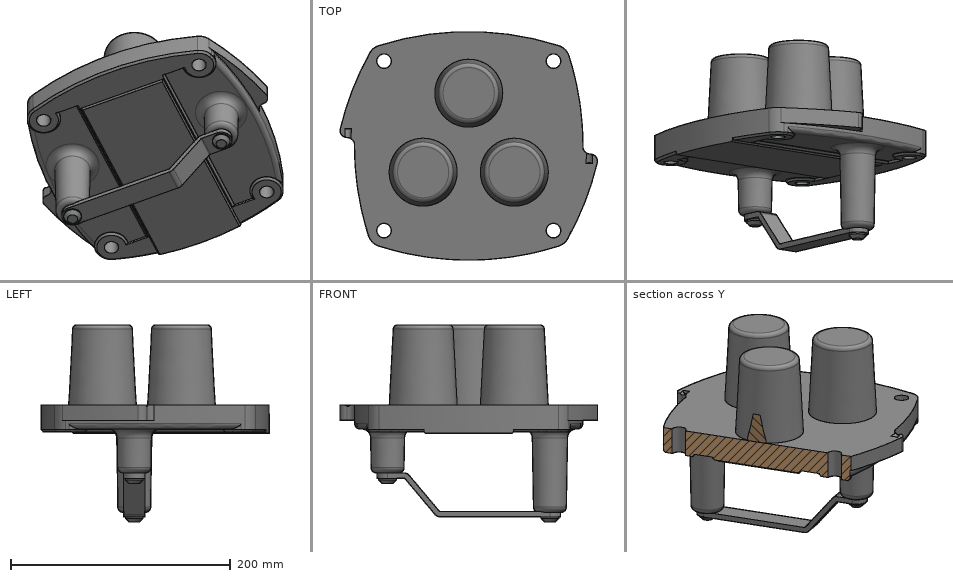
import cadquery as cq
import math

half_width = 208.5 / 2
hole_offset = 77.25
hole_diameter = 13.0
corner_radius = 15.0
floor_depth = 22.0
floor_edge_radius = 5.0
rim_depth = 24.5
rim_chamfer = 2.0

inset = half_width - hole_offset
bow_radius = (hole_offset**2 + inset**2 - corner_radius**2) / (2 * (inset - corner_radius))
bow_center_offset = half_width - bow_radius
bow_half_span = hole_offset * bow_radius / (bow_radius - corner_radius)

ear_reach = 234.81 / 2
ear_depth = 14.0
ear_radius = (ear_reach - half_width) / 2
ear_center = (-ear_reach + ear_radius, 14.0)
groove_x = -110.0
groove_width = 6.0
groove_tilt = 12.0
groove_end_y = 16.0

pad_half_width = 41.0
pad_depth = 26.0
pad_end_y = 76.0
pad_rise = pad_depth - rim_depth
recess_inner_x = 44.0
recess_end_y = 80.0
boss_radius = 15.4

cup_count = 3
cup_circle_radius = 48.0
cup_base_radius = 31.0
cup_height = 73.0
cup_draft = 3.0
cup_edge_radius = 4.0

post_x = 74.0
post_y = 19.0
short_post_depth = 62.0
strap_drop = 35.0
post_seat = 1.0
long_post_depth = short_post_depth + strap_drop + post_seat
post_tip_radius = 15.0
post_draft = 1.0
post_edge_radius = 5.0
post_flare_radius = 8.0
strap_thickness = 5.0
strap_width = 19.5
strap_bend_x = -26.7
strap_slope = 50.0
strap_outer_bend = 6.0
strap_inner_bend = 1.0
screw_head_diameter = 16.3
screw_tip_diameter = 9.45
screw_head_height = 4.85
shank_diameter = 11.0


def point_on(center, radius, direction):
    """Point at the given radius from a center, along a direction vector."""
    length = math.hypot(*direction)
    return (center[0] + radius * direction[0] / length, center[1] + radius * direction[1] / length)


def outline_solid(depth):
    """Bowed square with rounded corners, from Z = 0 down to the given depth."""
    along = bow_half_span
    out = bow_center_offset + math.sqrt(bow_radius**2 - along**2)
    corner_middle = hole_offset + corner_radius * math.sqrt(0.5)
    outline = cq.Workplane("XY").moveTo(-along, out)
    for turn in range(4):
        angle = -math.pi / 2 * turn

        def turned(x, y):
            return (x * math.cos(angle) - y * math.sin(angle), x * math.sin(angle) + y * math.cos(angle))

        outline = outline.threePointArc(turned(0, half_width), turned(along, out))
        outline = outline.threePointArc(turned(corner_middle, corner_middle), turned(out, along))
    return outline.close().extrude(-depth)


def make_ear():
    """Ear on the -X side: a bowed edge from the corner to a rounded tip, then a concave root."""
    corner = (-hole_offset, hole_offset)
    corner_gap = bow_radius - corner_radius
    tip_gap = bow_radius - ear_radius
    dx = ear_center[0] - corner[0]
    dy = ear_center[1] - corner[1]
    span = math.hypot(dx, dy)
    along = (corner_gap**2 - tip_gap**2 + span**2) / (2 * span)
    across = math.sqrt(corner_gap**2 - along**2)
    arc_center = (
        corner[0] + (along * dx - across * dy) / span,
        corner[1] + (along * dy + across * dx) / span,
    )

    def outward(point):
        return (point[0] - arc_center[0], point[1] - arc_center[1])

    start = point_on(corner, corner_radius, outward(corner))
    end = point_on(ear_center, ear_radius, outward(ear_center))
    middle = point_on(arc_center, bow_radius, outward(((start[0] + end[0]) / 2, (start[1] + end[1]) / 2)))
    tip_middle = point_on(ear_center, ear_radius, (-1, -1))
    tip_end = (ear_center[0], ear_center[1] - ear_radius)
    root_center = (ear_center[0], ear_center[1] - 2 * ear_radius)
    root_middle = point_on(root_center, ear_radius, (1, 1))
    root_end = (root_center[0] + ear_radius, root_center[1])
    return (
        cq.Workplane("XY")
        .moveTo(*start)
        .threePointArc(middle, end)
        .threePointArc(tip_middle, tip_end)
        .threePointArc(root_middle, root_end)
        .lineTo(-hole_offset, root_center[1])
        .lineTo(*corner)
        .close()
        .extrude(-ear_depth)
    )


def make_groove():
    """Round-bottomed groove that rises along Y and opens at the end of the ear."""
    return (
        cq.Workplane("XZ")
        .circle(groove_width / 2)
        .extrude(2 * ear_radius)
        .rotate((0, 0, 0), (1, 0, 0), -groove_tilt)
        .translate((groove_x, groove_end_y, 0))
    )


def make_side_recess():
    """Space below the floor on the -X side, with sloped walls and around the two hole bosses."""
    wall_top = rim_chamfer - rim_depth
    recess_top = floor_edge_radius - floor_depth
    recess = (
        cq.Workplane("XZ", origin=(0, recess_end_y, 0))
        .moveTo(rim_chamfer - recess_inner_x, -rim_depth)
        .lineTo(-recess_inner_x, wall_top)
        .lineTo(-recess_inner_x, recess_top)
        .lineTo(-ear_reach, recess_top)
        .lineTo(-ear_reach, -rim_depth)
        .close()
        .extrude(2 * recess_end_y)
    )
    boss = (
        cq.Workplane("XZ")
        .moveTo(0, -rim_depth)
        .lineTo(boss_radius - rim_chamfer, -rim_depth)
        .lineTo(boss_radius, wall_top)
        .lineTo(boss_radius, recess_top)
        .lineTo(0, recess_top)
        .close()
        .revolve(360, (0, 0), (0, 1))
    )
    for y in (-hole_offset, hole_offset):
        recess = recess.cut(boss.translate((-hole_offset, y, 0)))
    return recess


def make_rim():
    """Deeper, chamfered rim, left out over the side recesses but kept around the holes."""
    rim = outline_solid(rim_depth).faces("<Z").chamfer(rim_chamfer)
    recess = make_side_recess()
    return rim.cut(recess).cut(recess.rotate((0, 0, 0), (0, 0, 1), 180))


def make_pad():
    """Raised underside pad that runs out through the -Y side, with bevelled edges."""
    length = pad_end_y + half_width + pad_rise
    pad = (
        cq.Workplane("XY", origin=(0, pad_end_y - length / 2, -pad_depth))
        .rect(2 * pad_half_width, length)
        .extrude(pad_depth)
        .faces("<Z")
        .chamfer(pad_rise)
    )
    return pad.intersect(outline_solid(pad_depth))


def make_post(x, depth):
    """Drafted post with a rounded tip and a flared root on the recess floor."""
    slope = math.tan(math.radians(post_draft))
    flare_z = -floor_depth - post_flare_radius
    root_radius = post_tip_radius + (depth + flare_z) * slope
    flare_edge = root_radius + post_flare_radius
    diagonal = post_flare_radius * math.sqrt(0.5)
    flare_middle = (flare_edge - diagonal, flare_z + diagonal)
    edge_z = -depth + post_edge_radius
    edge_outer = post_tip_radius + post_edge_radius * slope
    edge_inner = edge_outer - post_edge_radius
    edge_middle = point_on((edge_inner, edge_z), post_edge_radius, (1, -1))
    embed_z = -floor_depth / 2
    profile = (
        cq.Workplane("XZ")
        .moveTo(0, embed_z)
        .lineTo(root_radius, embed_z)
        .lineTo(root_radius, -floor_depth)
        .lineTo(flare_edge, -floor_depth)
        .threePointArc(flare_middle, (root_radius, flare_z))
        .lineTo(edge_outer, edge_z)
        .threePointArc(edge_middle, (edge_inner, -depth))
        .lineTo(0, -depth)
        .close()
    )
    return profile.revolve(360, (0, 0), (0, 1)).translate((x, post_y, 0))


def make_plate():
    plate = outline_solid(floor_depth).faces("<Z").edges().fillet(floor_edge_radius)
    plate = plate.union(make_rim()).union(make_pad())
    ear = make_ear()
    plate = plate.union(ear).union(ear.rotate((0, 0, 0), (0, 0, 1), 180))
    groove = make_groove()
    plate = plate.cut(groove).cut(groove.rotate((0, 0, 0), (0, 0, 1), 180))
    plate = plate.union(make_post(-post_x, short_post_depth))
    plate = plate.union(make_post(post_x, long_post_depth))
    holes = (
        cq.Workplane("XY")
        .rect(2 * hole_offset, 2 * hole_offset, forConstruction=True)
        .vertices()
        .circle(hole_diameter / 2)
        .extrude(-pad_depth)
    )
    return plate.cut(holes)


def make_cup(index):
    """Tapered cup standing on the plate, with a rounded top edge."""
    angle = math.radians(90 + index * 360 / cup_count)
    return (
        cq.Workplane("XY")
        .circle(cup_base_radius)
        .extrude(cup_height, taper=cup_draft)
        .faces(">Z")
        .edges()
        .fillet(cup_edge_radius)
        .translate((cup_circle_radius * math.cos(angle), cup_circle_radius * math.sin(angle), 0))
    )


def make_strap():
    """Cranked strap under both posts, with round ends, screw holes and a seat for the long post."""
    high_top = -short_post_depth
    high_bottom = high_top - strap_thickness
    low_top = high_top - strap_drop
    low_bottom = low_top - strap_thickness
    upper_bend_x = strap_bend_x - strap_drop / math.tan(math.radians(strap_slope))
    lower_shift = strap_thickness * math.tan(math.radians(strap_slope / 2))
    end_x = post_x + strap_width / 2
    strap = (
        cq.Workplane("XZ", origin=(0, post_y + strap_width / 2, 0))
        .moveTo(-end_x, high_top)
        .lineTo(upper_bend_x, high_top)
        .lineTo(strap_bend_x, low_top)
        .lineTo(end_x, low_top)
        .lineTo(end_x, low_bottom)
        .lineTo(strap_bend_x - lower_shift, low_bottom)
        .lineTo(upper_bend_x - lower_shift, high_bottom)
        .lineTo(-end_x, high_bottom)
        .close()
        .extrude(strap_width)
    )

    def bend_edge(x, z):
        return cq.selectors.NearestToPointSelector((x, post_y, z))

    outer_bends = (
        (upper_bend_x, high_top),
        (strap_bend_x - lower_shift, low_bottom),
    )
    inner_bends = (
        (strap_bend_x, low_top),
        (upper_bend_x - lower_shift, high_bottom),
    )
    for x, z in outer_bends:
        strap = strap.edges("|Y").edges(bend_edge(x, z)).fillet(strap_outer_bend)
    for x, z in inner_bends:
        strap = strap.edges("|Y").edges(bend_edge(x, z)).fillet(strap_inner_bend)

    round_ends = (
        cq.Workplane("XY", origin=(0, post_y, 0))
        .slot2D(2 * end_x, strap_width)
        .extrude(low_bottom)
    )
    shank_holes = (
        cq.Workplane("XY")
        .pushPoints([(-post_x, post_y), (post_x, post_y)])
        .circle(shank_diameter / 2)
        .extrude(low_bottom)
    )
    strap = strap.intersect(round_ends).cut(shank_holes)
    return strap.cut(make_post(post_x, long_post_depth))


def make_screw(x, post_depth, strap_bottom):
    """Screw with a bevelled head under the strap and a shank through it to the post."""
    bevel = (screw_head_diameter - screw_tip_diameter) / 2
    head = (
        cq.Workplane("XY", origin=(x, post_y, strap_bottom))
        .circle(screw_head_diameter / 2)
        .extrude(-screw_head_height)
        .faces("<Z")
        .chamfer(bevel)
    )
    shank = (
        cq.Workplane("XY", origin=(x, post_y, strap_bottom))
        .circle(shank_diameter / 2)
        .extrude(-post_depth - strap_bottom)
    )
    return head.union(shank)


plate = make_plate()
cups = [make_cup(index) for index in range(cup_count)]
strap = make_strap()
high_strap_bottom = -short_post_depth - strap_thickness
screws = [
    make_screw(-post_x, short_post_depth, high_strap_bottom),
    make_screw(post_x, long_post_depth, high_strap_bottom - strap_drop),
]

result = cq.Compound.makeCompound(
    [plate.val(), *[cup.val() for cup in cups], strap.val(), *[screw.val() for screw in screws]]
)